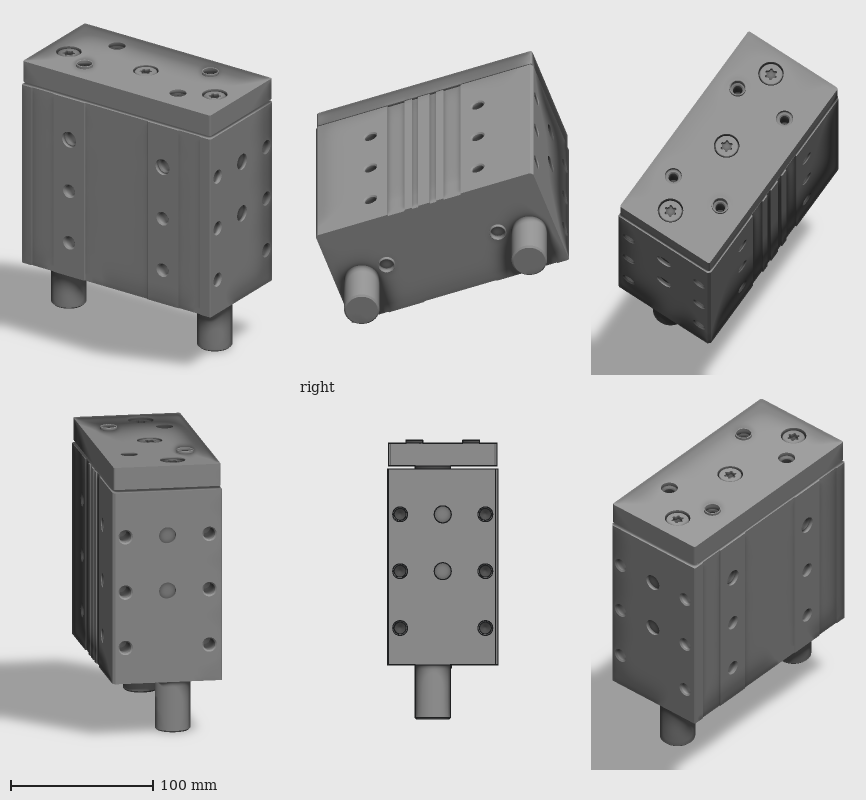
import cadquery as cq
import math


HOUSING_WIDTH = 162.0
HOUSING_DEPTH = 78.1
HOUSING_HEIGHT = 138.0
FRONT_CORNER_CHAMFER = 0.7
BACK_CORNER_CHAMFER = 1.8
PANEL_RECESS = 0.6
PANEL_SLOPE = 0.7
CENTRE_RECESS_HALF = 27.2
BACK_RECESS_DEPTH = 1.0
BACK_RIB_INNER = 4.3
BACK_RIB_SIDE_START = 9.0
BACK_RIB_SIDE_END = 14.5
FRONT_CHANNEL_INNER = 53.5
FRONT_CHANNEL_OUTER = 72.3

PLATE_GAP = 2.2
PLATE_WIDTH = 160.5
PLATE_DEPTH = 76.5
PLATE_THICKNESS = 16.0
PLATE_CORNER_RADIUS = 1.4
PISTON_ROD_DIAMETER = 14.0
PISTON_ROD_Y = -2.0
PISTON_ROD_INSERTION = 80.0

GUIDE_ROD_DIAMETER = 25.0
GUIDE_ROD_SPACING = 125.0
GUIDE_ROD_Y = -7.0
GUIDE_ROD_OVERHANG = 38.1
GUIDE_ROD_CHAMFER = 1.2

SCREW_POCKET_DIAMETER = 18.0
GUIDE_SCREW_SINK = 1.2
PISTON_SCREW_SINK = 0.6
SCREW_HEAD_DIAMETER = 16.0
SCREW_HEAD_HEIGHT = 5.0
SCREW_HEAD_CHAMFER = 0.5
STAR_CORE_DIAMETER = 6.65
STAR_TIP_DIAMETER = 9.0
STAR_LOBE_COUNT = 6
STAR_LOBE_WIDTH = 2.0
STAR_DEPTH = 3.0

HOLE_PITCH = 40.0
LOWEST_HOLE_Z = 26.0
HOLE_LEVELS = [LOWEST_HOLE_Z + i * HOLE_PITCH for i in range(3)]
FRONT_HOLE_SPACING = 80.0
SIDE_HOLE_SPACING = 60.0
HOUSING_HOLE_DIAMETER = 8.4
HOUSING_HOLE_MOUTH = 10.4
SIDE_HOLE_DEPTH = 20.0
DRILL_POINT_ANGLE = 118.0
PLATE_HOLE_SPACING_X = 80.0
PLATE_HOLE_SPACING_Y = 40.0
PLATE_HOLE_DIAMETER = 6.65
PLATE_HOLE_MOUTH = 8.4

SLEEVE_DIAMETER = 12.0
SLEEVE_BORE = 10.4
SLEEVE_CHAMFER = 0.275
RECESS_DEPTH = 2.7
TOP_SLEEVE_PROTRUSION = 2.0
BOTTOM_SLEEVE_PROTRUSION = 2.3
BOTTOM_SLEEVE_SPACING = 83.0

PLATE_BOTTOM = HOUSING_HEIGHT + PLATE_GAP
PLATE_TOP = PLATE_BOTTOM + PLATE_THICKNESS
GUIDE_ROD_POINTS = [(side * GUIDE_ROD_SPACING / 2, GUIDE_ROD_Y) for side in (-1, 1)]
BOTTOM_SLEEVE_POINTS = [(side * BOTTOM_SLEEVE_SPACING / 2, 0) for side in (-1, 1)]
PLATE_HOLE_POINTS = [
    (i * PLATE_HOLE_SPACING_X / 2, j * PLATE_HOLE_SPACING_Y / 2) for i in (-1, 1) for j in (-1, 1)
]
TOP_SLEEVE_POINTS = [point for point in PLATE_HOLE_POINTS if point[0] * point[1] > 0]


def drill(diameter, depth, start, direction):
    """Cylindrical cutter or pin from a start point along a direction."""
    return cq.Workplane(cq.Solid.makeCylinder(diameter / 2, depth, cq.Vector(*start), cq.Vector(*direction)))


def countersink(mouth, diameter, start, direction):
    """45 degree cone that widens a hole to its mouth diameter."""
    depth = (mouth - diameter) / 2
    return cq.Workplane(
        cq.Solid.makeCone(mouth / 2, diameter / 2, depth, cq.Vector(*start), cq.Vector(*direction))
    )


def front_channel(inner, outer, inner_slope, outer_slope):
    """Shallow full-height channel in the front face, its flanks sloped by the given widths."""
    front = -HOUSING_DEPTH / 2
    return (
        cq.Workplane("XY")
        .moveTo(inner, front)
        .lineTo(inner + inner_slope, front + PANEL_RECESS)
        .lineTo(outer - outer_slope, front + PANEL_RECESS)
        .lineTo(outer, front)
        .close()
        .extrude(HOUSING_HEIGHT)
    )


def front_channels():
    side = front_channel(FRONT_CHANNEL_INNER, FRONT_CHANNEL_OUTER, 0, PANEL_SLOPE)
    centre = front_channel(-CENTRE_RECESS_HALF, CENTRE_RECESS_HALF, PANEL_SLOPE, PANEL_SLOPE)
    return [centre, side, side.mirror("YZ")]


def back_strip(start, end):
    """Full-height strip of the back face between two X positions."""
    width = end - start
    centre_y = (HOUSING_DEPTH - BACK_RECESS_DEPTH) / 2
    strip = cq.Workplane("XY").box(width, BACK_RECESS_DEPTH, HOUSING_HEIGHT, centered=(True, True, False))
    return strip.translate(((start + end) / 2, centre_y, 0))


def back_recess():
    """Wide recess in the back face that leaves three full-height ribs standing."""
    recess = back_strip(-CENTRE_RECESS_HALF, CENTRE_RECESS_HALF)
    recess = recess.cut(back_strip(-BACK_RIB_INNER, BACK_RIB_INNER))
    for start, end in (
        (BACK_RIB_SIDE_START, BACK_RIB_SIDE_END),
        (-BACK_RIB_SIDE_END, -BACK_RIB_SIDE_START),
    ):
        recess = recess.cut(back_strip(start, end))
    return recess


def make_housing():
    body = cq.Workplane("XY").box(HOUSING_WIDTH, HOUSING_DEPTH, HOUSING_HEIGHT, centered=(True, True, False))
    body = body.edges("|Z and <Y").chamfer(FRONT_CORNER_CHAMFER)
    body = body.edges("|Z and >Y").chamfer(BACK_CORNER_CHAMFER)
    for channel in front_channels():
        body = body.cut(channel)
    body = body.cut(back_recess())

    front = -HOUSING_DEPTH / 2
    for x in (-FRONT_HOLE_SPACING / 2, FRONT_HOLE_SPACING / 2):
        for z in HOLE_LEVELS:
            mouth_y = front
            if z == HOLE_LEVELS[-1]:
                mouth_y = front + RECESS_DEPTH
                body = body.cut(drill(SLEEVE_DIAMETER, RECESS_DEPTH, (x, front, z), (0, 1, 0)))
            body = body.cut(drill(HOUSING_HOLE_DIAMETER, HOUSING_DEPTH, (x, front, z), (0, 1, 0)))
            for start_y, inward in ((mouth_y, 1), (-front, -1)):
                body = body.cut(
                    countersink(HOUSING_HOLE_MOUTH, HOUSING_HOLE_DIAMETER, (x, start_y, z), (0, inward, 0))
                )

    point_height = HOUSING_HOLE_DIAMETER / 2 / math.tan(math.radians(DRILL_POINT_ANGLE / 2))
    for side in (-1, 1):
        face_x = side * HOUSING_WIDTH / 2
        inward = (-side, 0, 0)
        for z in HOLE_LEVELS:
            for y in (-SIDE_HOLE_SPACING / 2, SIDE_HOLE_SPACING / 2):
                mouth = (face_x, y, z)
                floor = cq.Vector(face_x - side * SIDE_HOLE_DEPTH, y, z)
                point = cq.Solid.makeCone(HOUSING_HOLE_DIAMETER / 2, 0, point_height, floor, cq.Vector(*inward))
                body = body.cut(drill(HOUSING_HOLE_DIAMETER, SIDE_HOLE_DEPTH, mouth, inward))
                body = body.cut(cq.Workplane(point))
                body = body.cut(countersink(HOUSING_HOLE_MOUTH, HOUSING_HOLE_DIAMETER, mouth, inward))
        for z in HOLE_LEVELS[1:]:
            body = body.cut(drill(SLEEVE_DIAMETER, RECESS_DEPTH, (face_x, 0, z), inward))

    for x, y in GUIDE_ROD_POINTS:
        body = body.cut(drill(GUIDE_ROD_DIAMETER, HOUSING_HEIGHT, (x, y, 0), (0, 0, 1)))
    piston_top = (0, PISTON_ROD_Y, HOUSING_HEIGHT)
    body = body.cut(drill(PISTON_ROD_DIAMETER, PISTON_ROD_INSERTION, piston_top, (0, 0, -1)))
    for x, y in BOTTOM_SLEEVE_POINTS:
        body = body.cut(drill(SLEEVE_DIAMETER, RECESS_DEPTH, (x, y, 0), (0, 0, 1)))
    return body


def make_screw_head():
    """Screw head with a six-lobed socket, standing on Z = 0."""
    head = cq.Workplane("XY").circle(SCREW_HEAD_DIAMETER / 2).extrude(SCREW_HEAD_HEIGHT)
    head = head.faces(">Z").edges().chamfer(SCREW_HEAD_CHAMFER)
    socket_floor = SCREW_HEAD_HEIGHT - STAR_DEPTH
    socket = drill(STAR_CORE_DIAMETER, STAR_DEPTH, (0, 0, socket_floor), (0, 0, 1))
    lobe_centre_diameter = STAR_TIP_DIAMETER - STAR_LOBE_WIDTH
    lobes = (
        cq.Workplane("XY")
        .workplane(offset=socket_floor)
        .polarArray(lobe_centre_diameter / 2, 90, 360, STAR_LOBE_COUNT)
        .circle(STAR_LOBE_WIDTH / 2)
        .extrude(STAR_DEPTH)
    )
    return head.cut(socket.union(lobes))


def make_yoke():
    """Yoke plate, its screw heads and the piston rod as one moving body."""
    plate = (
        cq.Workplane("XY")
        .workplane(offset=PLATE_BOTTOM)
        .rect(PLATE_WIDTH, PLATE_DEPTH)
        .extrude(PLATE_THICKNESS)
        .edges("|Z")
        .fillet(PLATE_CORNER_RADIUS)
    )
    for x, y in PLATE_HOLE_POINTS:
        recess_floor = (x, y, PLATE_TOP - RECESS_DEPTH)
        plate = plate.cut(drill(SLEEVE_DIAMETER, RECESS_DEPTH, (x, y, PLATE_TOP), (0, 0, -1)))
        plate = plate.cut(drill(PLATE_HOLE_DIAMETER, PLATE_THICKNESS, (x, y, PLATE_TOP), (0, 0, -1)))
        plate = plate.cut(countersink(PLATE_HOLE_MOUTH, PLATE_HOLE_DIAMETER, recess_floor, (0, 0, -1)))

    head = make_screw_head()
    screws = [(x, y, GUIDE_SCREW_SINK) for x, y in GUIDE_ROD_POINTS]
    screws.append((0, PISTON_ROD_Y, PISTON_SCREW_SINK))
    for x, y, sink in screws:
        pocket_depth = SCREW_HEAD_HEIGHT + sink
        plate = plate.cut(drill(SCREW_POCKET_DIAMETER, pocket_depth, (x, y, PLATE_TOP), (0, 0, -1)))
        plate = plate.union(head.translate((x, y, PLATE_TOP - pocket_depth)))

    rod_length = PLATE_GAP + PISTON_ROD_INSERTION
    return plate.union(drill(PISTON_ROD_DIAMETER, rod_length, (0, PISTON_ROD_Y, PLATE_BOTTOM), (0, 0, -1)))


def make_guide_rod(x, y):
    """Guide rod from the underside of the plate, through the housing, to its free lower end."""
    length = PLATE_BOTTOM + GUIDE_ROD_OVERHANG
    rod = drill(GUIDE_ROD_DIAMETER, length, (x, y, -GUIDE_ROD_OVERHANG), (0, 0, 1))
    return rod.faces("<Z").edges().chamfer(GUIDE_ROD_CHAMFER)


def make_sleeve(x, y, bottom, top):
    """Centring sleeve, a ring chamfered on all four edges."""
    return (
        cq.Workplane("XY")
        .workplane(offset=bottom)
        .center(x, y)
        .circle(SLEEVE_DIAMETER / 2)
        .circle(SLEEVE_BORE / 2)
        .extrude(top - bottom)
        .faces("<Z or >Z")
        .edges()
        .chamfer(SLEEVE_CHAMFER)
    )


housing = make_housing()
yoke = make_yoke()
guide_rods = [make_guide_rod(x, y) for x, y in GUIDE_ROD_POINTS]
top_sleeves = [
    make_sleeve(x, y, PLATE_TOP - RECESS_DEPTH, PLATE_TOP + TOP_SLEEVE_PROTRUSION)
    for x, y in TOP_SLEEVE_POINTS
]
bottom_sleeves = [
    make_sleeve(x, y, -BOTTOM_SLEEVE_PROTRUSION, RECESS_DEPTH) for x, y in BOTTOM_SLEEVE_POINTS
]

bodies = [housing, yoke] + guide_rods + top_sleeves + bottom_sleeves
result = cq.Compound.makeCompound([body.val() for body in bodies])